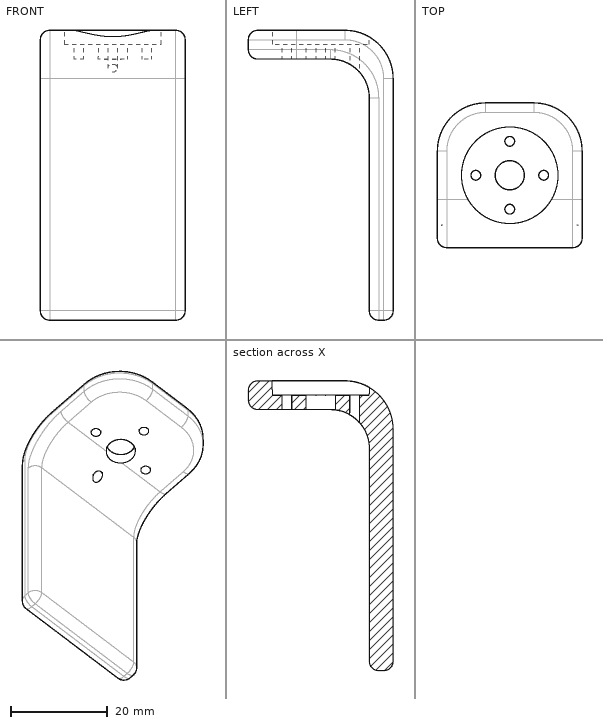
import cadquery as cq

width = 30.0
depth = 30.0
height = 60.0

shelf_thickness = 6.0
wall_thickness = 5.0
outer_bend_radius = 10.0
inner_bend_radius = 8.0
shelf_corner_radius = 10.0
edge_radius = 2.0

recess_diameter = 20.0
recess_depth = 3.0
center_hole_diameter = 6.0
screw_hole_diameter = 2.0
screw_circle_radius = 7.0
screw_count = 4


def bent_plate():
    """L-shaped body: front wall at Y = 0, shelf at the top, all edges rounded."""
    shelf_bottom = height - shelf_thickness
    body = (
        cq.Workplane("YZ")
        .polyline([
            (0, 0),
            (wall_thickness, 0),
            (wall_thickness, shelf_bottom),
            (depth, shelf_bottom),
            (depth, height),
            (0, height),
        ])
        .close()
        .extrude(width / 2, both=True)
    )
    outer_corner = cq.NearestToPointSelector((0, 0, height))
    inner_corner = cq.NearestToPointSelector((0, wall_thickness, shelf_bottom))
    body = body.edges("|X").edges(outer_corner).fillet(outer_bend_radius)
    body = body.edges("|X").edges(inner_corner).fillet(inner_bend_radius)
    body = body.edges("|Z and >Y").fillet(shelf_corner_radius)
    body = body.faces("<Z").edges("|Y").fillet(edge_radius)
    for skin_y in (0, wall_thickness):
        rim_edge = cq.NearestToPointSelector((0, skin_y, 0))
        body = body.edges(rim_edge).fillet(edge_radius)
    return body


def shelf_plane(z):
    """Horizontal workplane at height z, centred on the shelf."""
    return cq.Workplane("XY", origin=(0, depth / 2, z))


def recess_and_holes():
    """Cutters for the recess, the central hole and the ring of screw holes."""
    floor = height - recess_depth
    recess = shelf_plane(floor).circle(recess_diameter / 2).extrude(recess_depth)
    hole_length = shelf_thickness + inner_bend_radius
    hole_plane = shelf_plane(height - hole_length)
    center_hole = hole_plane.circle(center_hole_diameter / 2).extrude(hole_length)
    screw_holes = (
        hole_plane
        .polarArray(screw_circle_radius, 0, 360, screw_count)
        .circle(screw_hole_diameter / 2)
        .extrude(hole_length)
    )
    return recess.union(center_hole).union(screw_holes)


result = bent_plate().cut(recess_and_holes())